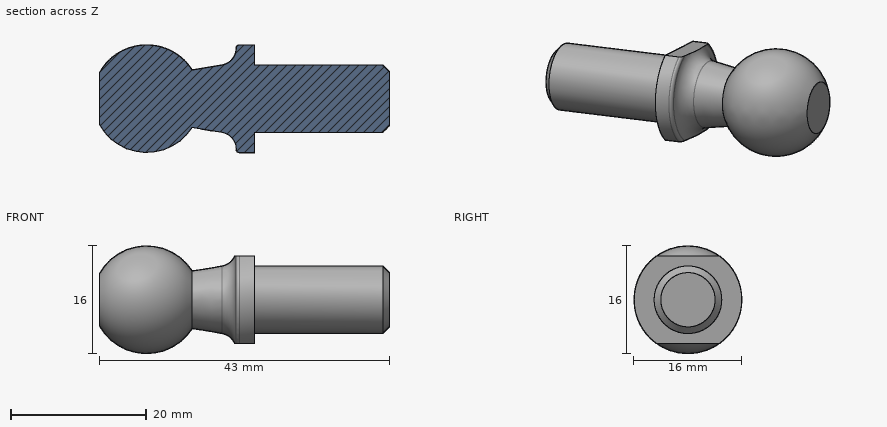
import cadquery as cq
import math

total_length = 43.0
ball_radius = 8.0
ball_center_x = 7.0
neck_start_x = 13.75

flange_front_x = 20.25
flange_back_x = 23.0
flange_radius = ball_radius
flange_edge_round = 0.5
across_flats = 13.0

shank_radius = 10.0 / 2
tip_chamfer = 1.0

ball_flat_radius = math.sqrt(ball_radius**2 - ball_center_x**2)
neck_start_radius = math.sqrt(ball_radius**2 - (neck_start_x - ball_center_x) ** 2)

neck_angle = math.radians(9.3)
neck_end_radius = shank_radius
round_start_radius = flange_radius - flange_edge_round
fillet_radius = (round_start_radius - neck_end_radius) / math.cos(neck_angle)
neck_end_x = flange_front_x - fillet_radius * (1 - math.sin(neck_angle))
fillet_center_x = flange_front_x - fillet_radius
fillet_mid_angle = (math.pi / 2 - neck_angle) / 2
fillet_mid = (
    fillet_center_x + fillet_radius * math.cos(fillet_mid_angle),
    round_start_radius - fillet_radius * math.sin(fillet_mid_angle),
)
round_end_x = flange_front_x + flange_edge_round
round_mid = (
    round_end_x - flange_edge_round * math.cos(math.pi / 4),
    round_start_radius + flange_edge_round * math.sin(math.pi / 4),
)


def make_turned_body():
    """Revolve the half profile of ball, neck, flange and shank."""
    profile = (
        cq.Workplane("XY")
        .moveTo(0, 0)
        .lineTo(0, ball_flat_radius)
        .threePointArc((ball_center_x, ball_radius), (neck_start_x, neck_start_radius))
        .lineTo(neck_end_x, neck_end_radius)
        .threePointArc(fillet_mid, (flange_front_x, round_start_radius))
        .threePointArc(round_mid, (round_end_x, flange_radius))
        .lineTo(flange_back_x, flange_radius)
        .lineTo(flange_back_x, shank_radius)
        .lineTo(total_length - tip_chamfer, shank_radius)
        .lineTo(total_length, shank_radius - tip_chamfer)
        .lineTo(total_length, 0)
        .close()
    )
    return profile.revolve(360, (0, 0, 0), (1, 0, 0))


def cut_wrench_flats(body):
    """Cut two parallel flats on the flange, facing +Z and -Z."""
    cutter_height = flange_radius
    cutter_width = 2 * flange_radius
    cutter_length = flange_back_x - neck_end_x
    for side in (1, -1):
        cutter = cq.Workplane("XY").box(cutter_length, cutter_width, cutter_height)
        cutter_center_z = side * (across_flats + cutter_height) / 2
        body = body.cut(cutter.translate(((neck_end_x + flange_back_x) / 2, 0, cutter_center_z)))
    return body


result = cut_wrench_flats(make_turned_body())